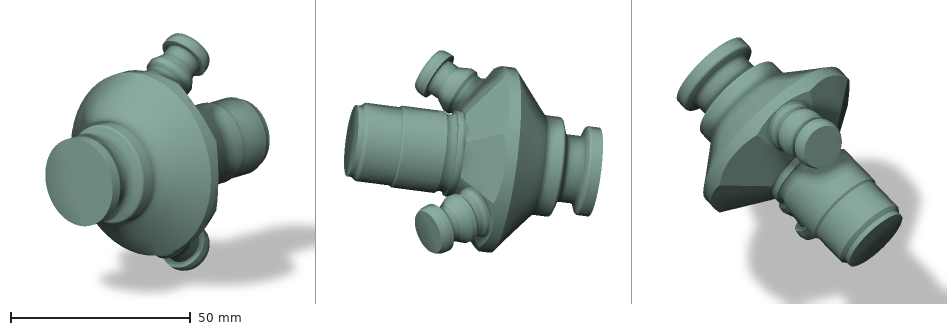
import cadquery as cq
import math


FLANGE_R = 25.0 / 2
NECK_R = 19.0 / 2
COLLAR_R = 28.0 / 2
FLANGE_SHOULDER_Y = 3.6
COLLAR_SHOULDER_Y = 11.1
SHOULDER_ANGLE = math.radians(20)
SHOULDER_EDGE_ROUND = 0.75
NECK_ROUND = 1.0

DISC_R = 52.0 / 2
DISC_BACK_R = 25.95
DISC_FRONT_Y = 26.1
FRONT_CONE_ANGLE = math.radians(50)
CONE_ROOT_ROUND = 1.0

FACET_COUNT = 8
FACET_TILT = math.radians(35)
PYRAMID_TOP_Y = 39.0
PYRAMID_TOP_APOTHEM = 12.1

STEM_COLLAR_R = 24.0 / 2
STEM_R = 23.0 / 2
SLEEVE_R = 22.0 / 2
TIP_R = 20 / 2
GROOVE_FRONT_Y = 41.05
GROOVE_BACK_Y = 43.75
GROOVE_EDGE_R = 11.25
GROOVE_BOTTOM_R = 10.75
STEM_EDGE_CHAMFER = 0.3
STEM_BACK_Y = 56.1
SLEEVE_FRONT_Y = 56.65
SLEEVE_CHAMFER_Y = 66.4
TIP_FRONT_Y = 67.55
TOTAL_LENGTH = 69

NOZZLE_FOOT_RADIUS = 19.6
NOZZLE_EMBED = 2.1
NOZZLE_BASE_R = 7.45
NOZZLE_R = 14.0 / 2
NOZZLE_GROOVE_R = 12.5 / 2
NOZZLE_NECK_R = 10.5 / 2
NOZZLE_FACE_R = 12.5 / 2
BASE_CHAMFER_TOP = 0.4
BASE_RIM_TOP = 1.0
GROOVE_START = 2.2
GROOVE_END = 3.7
BULGE_START = 4.55
BULGE_END = 6.15
NECK_START = 9.3
HEAD_START = 12.6
HEAD_ROUND_START = 14.1
NOZZLE_LENGTH = 16.35


def turned(profile):
    """Revolve a closed (radius, Y) profile about the main axis."""
    return profile.close().revolve(360, (0, 0, 0), (0, 1, 0))


def round_edge(body, radius, y, size):
    """Round the circular edge of the given radius and position on the main axis."""
    gap = 0.01
    selector = cq.selectors.BoxSelector(
        (-radius - gap, y - gap, -radius - gap), (radius + gap, y + gap, radius + gap), boundingbox=True
    )
    return body.edges(selector).fillet(size)


def make_front():
    """Flange, neck, collar, front cone and the full disc rim."""
    slope = math.tan(SHOULDER_ANGLE)
    neck_front_y = FLANGE_SHOULDER_Y + (FLANGE_R - NECK_R) * slope
    neck_back_y = COLLAR_SHOULDER_Y - (COLLAR_R - NECK_R) * slope
    cone_front_y = DISC_FRONT_Y - (DISC_R - COLLAR_R) / math.tan(FRONT_CONE_ANGLE)
    body = turned(
        cq.Workplane("XY")
        .moveTo(0, 0)
        .lineTo(FLANGE_R, 0)
        .lineTo(FLANGE_R, FLANGE_SHOULDER_Y)
        .lineTo(NECK_R, neck_front_y)
        .lineTo(NECK_R, neck_back_y)
        .lineTo(COLLAR_R, COLLAR_SHOULDER_Y)
        .lineTo(COLLAR_R, cone_front_y)
        .lineTo(DISC_R, DISC_FRONT_Y)
        .lineTo(DISC_BACK_R, PYRAMID_TOP_Y)
        .lineTo(0, PYRAMID_TOP_Y)
    )
    body = round_edge(body, FLANGE_R, FLANGE_SHOULDER_Y, SHOULDER_EDGE_ROUND)
    body = round_edge(body, NECK_R, neck_front_y, NECK_ROUND)
    body = round_edge(body, NECK_R, neck_back_y, NECK_ROUND)
    body = round_edge(body, COLLAR_R, COLLAR_SHOULDER_Y, SHOULDER_EDGE_ROUND)
    return round_edge(body, COLLAR_R, cone_front_y, CONE_ROOT_ROUND)


def make_facet_envelope():
    """Eight-sided pyramid frustum that trims the back of the disc into facets."""
    base_apothem = PYRAMID_TOP_APOTHEM + PYRAMID_TOP_Y / math.tan(FACET_TILT)
    corner_ratio = 1 / math.cos(math.pi / FACET_COUNT)
    half_facet = 180 / FACET_COUNT

    def octagon(y, apothem):
        plane = cq.Plane((0, y, 0), (1, 0, 0), (0, 1, 0)).rotated((0, 0, half_facet))
        return cq.Workplane(plane).polygon(FACET_COUNT, 2 * apothem * corner_ratio).val()

    wires = [octagon(0, base_apothem), octagon(PYRAMID_TOP_Y, PYRAMID_TOP_APOTHEM)]
    return cq.Workplane(cq.Solid.makeLoft(wires, True))


def make_stem():
    """Rear stem with its collar, round groove, sleeve and tip."""
    groove_middle_y = (GROOVE_FRONT_Y + GROOVE_BACK_Y) / 2
    return turned(
        cq.Workplane("XY")
        .moveTo(0, DISC_FRONT_Y)
        .lineTo(STEM_COLLAR_R, DISC_FRONT_Y)
        .lineTo(STEM_COLLAR_R, GROOVE_FRONT_Y)
        .lineTo(GROOVE_EDGE_R, GROOVE_FRONT_Y)
        .threePointArc((GROOVE_BOTTOM_R, groove_middle_y), (GROOVE_EDGE_R, GROOVE_BACK_Y))
        .lineTo(STEM_R, GROOVE_BACK_Y + STEM_EDGE_CHAMFER)
        .lineTo(STEM_R, STEM_BACK_Y)
        .lineTo(SLEEVE_R, SLEEVE_FRONT_Y)
        .lineTo(SLEEVE_R, SLEEVE_CHAMFER_Y)
        .lineTo(TIP_R, TIP_FRONT_Y)
        .lineTo(TIP_R, TOTAL_LENGTH)
        .lineTo(0, TOTAL_LENGTH)
    )


def make_nozzle(side):
    """Turned nozzle square to the +Z facet (side = 1) or the -Z facet (side = -1)."""
    foot_y = PYRAMID_TOP_Y - (NOZZLE_FOOT_RADIUS - PYRAMID_TOP_APOTHEM) * math.tan(FACET_TILT)
    axis = cq.Vector(0, math.cos(FACET_TILT), side * math.sin(FACET_TILT))
    across = cq.Vector(1, 0, 0)
    foot = cq.Vector(0, foot_y, side * NOZZLE_FOOT_RADIUS)
    plane = cq.Plane(foot, across, across.cross(axis))
    return turned(
        cq.Workplane(plane)
        .moveTo(0, -NOZZLE_EMBED)
        .lineTo(NOZZLE_R, -NOZZLE_EMBED)
        .lineTo(NOZZLE_BASE_R, 0)
        .lineTo(NOZZLE_R, BASE_CHAMFER_TOP)
        .lineTo(NOZZLE_R, BASE_RIM_TOP)
        .lineTo(NOZZLE_GROOVE_R, GROOVE_START)
        .lineTo(NOZZLE_GROOVE_R, GROOVE_END)
        .lineTo(NOZZLE_R, BULGE_START)
        .lineTo(NOZZLE_R, BULGE_END)
        .lineTo(NOZZLE_NECK_R, NECK_START)
        .lineTo(NOZZLE_NECK_R, HEAD_START)
        .lineTo(NOZZLE_R, HEAD_START)
        .lineTo(NOZZLE_R, HEAD_ROUND_START)
        .tangentArcPoint((NOZZLE_FACE_R, NOZZLE_LENGTH), relative=False)
        .lineTo(0, NOZZLE_LENGTH)
    )


result = make_front().intersect(make_facet_envelope()).union(make_stem())
for side in (1, -1):
    result = result.union(make_nozzle(side))